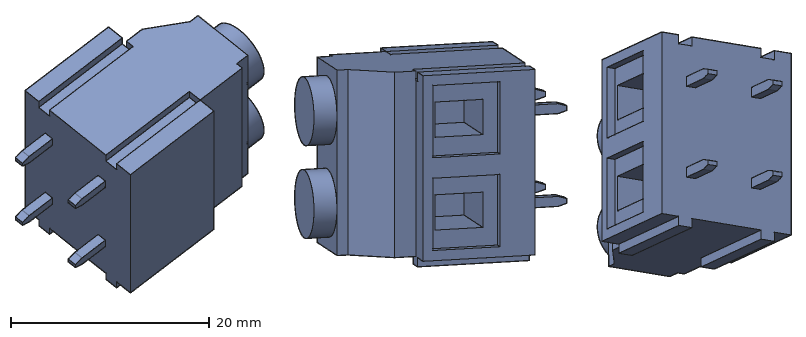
import cadquery as cq


overall_length = 25.9
pole_count = 2
base_width = 15.23
base_length = 11.78
body_height = 19.1
pole_pitch = body_height / pole_count

upper_inset_left = 2.6
slope_start = 14.0
slope_end = 18.15
housing_length = 19.27
head_width = 7.2
head_left = -2.35
head_right = head_left + head_width
shoulder_drop = 1.55
shoulder_end = housing_length - shoulder_drop

rail_width = 1.55
rail_height = 0.95
rail_edge_distance = 2.0
rail_center = base_width / 2 - rail_edge_distance - rail_width / 2

recess_length = 7.07
recess_height = 7.43
recess_depth = 0.9
recess_start = 3.68
entry_length = 5.0
entry_height = 3.63
entry_start = 5.23
entry_floor = 0.0

screw_diameter = 7.0
screw_center = (head_left + head_right) / 2
screw_end = 21.68

pin_thickness = 1.04
pin_length = overall_length - screw_end
pin_taper_length = 0.93
pin_tip_thickness = 0.47
pin_row_spacing = 7.65
left_pin_row = -4.17
pin_rows = [left_pin_row, left_pin_row + pin_row_spacing]

pole_heights = [(i + 0.5) * pole_pitch for i in range(pole_count)]


def make_housing():
    """Stepped and sloped outline in XY, extruded over the full height."""
    left = -base_width / 2
    right = base_width / 2
    upper_left = left + upper_inset_left
    upper_right = right - rail_edge_distance
    outline = [
        (left, 0),
        (right, 0),
        (right, base_length),
        (upper_right, base_length),
        (upper_right, shoulder_end),
        (head_right, shoulder_end),
        (head_right, housing_length),
        (head_left, housing_length),
        (head_left, slope_end),
        (upper_left, slope_start),
        (upper_left, base_length),
        (left, base_length),
    ]
    return cq.Workplane("XY").polyline(outline).close().extrude(body_height)


def make_rails(bottom):
    """Pair of bars along the base, with their undersides at height `bottom`."""
    return (
        cq.Workplane("XY", origin=(0, base_length / 2, bottom))
        .pushPoints([(-rail_center, 0), (rail_center, 0)])
        .rect(rail_width, base_length)
        .extrude(rail_height)
    )


def make_wire_entry(z):
    """Volume of one wire entry centred at height z."""
    side = -base_width / 2
    recess = cq.Workplane("XY").box(
        recess_depth, recess_length, recess_height, centered=(False, False, True)
    )
    opening = cq.Workplane("XY").box(
        entry_floor - side, entry_length, entry_height, centered=(False, False, True)
    )
    recess = recess.translate((side, recess_start, z))
    return recess.union(opening.translate((side, entry_start, z)))


def make_screw(z):
    """Round screw head on the end opposite the pins."""
    return (
        cq.Workplane("XZ", origin=(screw_center, screw_end, z))
        .circle(screw_diameter / 2)
        .extrude(screw_end - housing_length)
    )


def make_pin(x, z):
    """Square pin whose upper and lower faces taper towards its tip."""
    half = pin_thickness / 2
    half_tip = pin_tip_thickness / 2
    taper_start = pin_taper_length - pin_length
    outline = [
        (0, -half),
        (0, half),
        (taper_start, half),
        (-pin_length, half_tip),
        (-pin_length, -half_tip),
        (taper_start, -half),
    ]
    pin = cq.Workplane("YZ").polyline(outline).close().extrude(half, both=True)
    return pin.translate((x, 0, z))


result = make_housing()
result = result.union(make_rails(-rail_height))
result = result.cut(make_rails(body_height - rail_height))
for pole_z in pole_heights:
    result = result.cut(make_wire_entry(pole_z))
    result = result.union(make_screw(pole_z))
    for pin_x in pin_rows:
        result = result.union(make_pin(pin_x, pole_z))